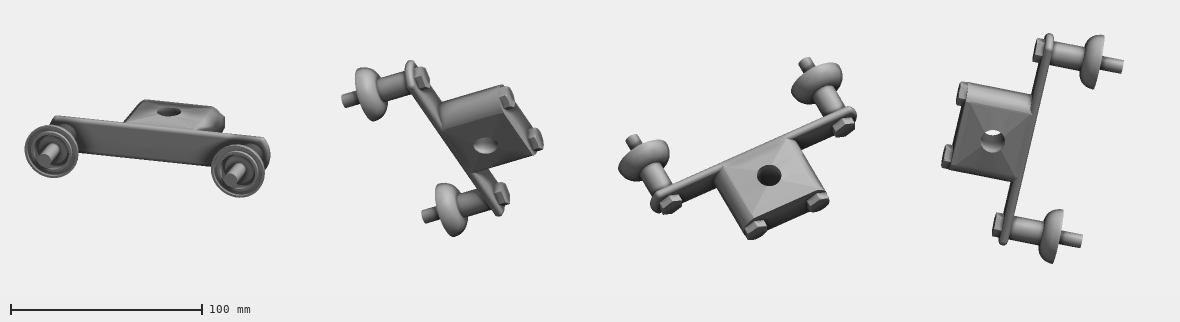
import cadquery as cq
import math

PLATE_HEIGHT = 19.3
PLATE_THICKNESS = 4.5
PLATE_LENGTH = 120.9
PLATE_END_RADIUS = 14.4
PLATE_CORNER_RADIUS = 2.2
PLATE_EDGE_RADIUS = 2.1

HEX_SIDES = 6
HEX_ACROSS_CORNERS = 12.9
HEX_HEIGHT = 4.0
HEX_CORNER_CHAMFER_ANGLE = 30.0

BLOCK_WIDTH = 49.2
BLOCK_FLAT_WIDTH = 36.5
BLOCK_BACK = 36.3
BLOCK_FLAT_X = BLOCK_FLAT_WIDTH / 2
BLOCK_BOLT_X = BLOCK_FLAT_X
BORE_Y = 17.9
BORE_RADIUS = 6.4

PAD_WIDTH = 35.5
PAD_LENGTH = 31.5
PAD_RISE = 1.7
PAD_CREST_HALF_LENGTH = 5.1
PAD_SIDE_BEVEL_X = 18.7

CUP_RADIUS = 14.5
OVERALL_LENGTH = 130.6
POST_X = OVERALL_LENGTH / 2 - CUP_RADIUS
POST_RADIUS = 6.4
PIN_RADIUS = 3.7
PIN_END = -40.5
CUP_FRONT = -27.8
CUP_RIM_WIDTH = 0.9
CUP_DOME_RADIUS = 7.8
GROOVE_OUTER_RADIUS = 13.3
GROOVE_INNER_RADIUS = 11.0
GROOVE_DEPTH = 2.0
RECESS_RADIUS = 9.7
RECESS_DEPTH = 6.0
RECESS_BOSS_RADIUS = 7.8
RECESS_BOSS_DEPTH = 3.7

HALF_HEIGHT = PLATE_HEIGHT / 2
PLATE_BACK = PLATE_THICKNESS / 2
PAD_CREST_X = math.sqrt(BORE_RADIUS**2 - PAD_CREST_HALF_LENGTH**2)


def make_plate():
    """Bar with bowed ends, rounded corners and nearly full-round long edges."""
    half_length = PLATE_LENGTH / 2
    end_bow = PLATE_END_RADIUS - math.sqrt(PLATE_END_RADIUS**2 - HALF_HEIGHT**2)
    corner_x = half_length - end_bow
    return (
        cq.Workplane("XZ", origin=(0, PLATE_BACK, 0))
        .moveTo(-corner_x, HALF_HEIGHT)
        .lineTo(corner_x, HALF_HEIGHT)
        .threePointArc((half_length, 0), (corner_x, -HALF_HEIGHT))
        .lineTo(-corner_x, -HALF_HEIGHT)
        .threePointArc((-half_length, 0), (-corner_x, HALF_HEIGHT))
        .close()
        .extrude(PLATE_THICKNESS)
        .edges("|Y")
        .fillet(PLATE_CORNER_RADIUS)
        .faces("<Y or >Y")
        .edges()
        .fillet(PLATE_EDGE_RADIUS)
    )


def make_hex_head(x, seat_y):
    """Bolt head that rises toward +Y from its seat."""
    return (
        cq.Workplane("XZ", origin=(x, seat_y, 0))
        .transformed(rotate=(0, 0, 90))
        .polygon(HEX_SIDES, HEX_ACROSS_CORNERS)
        .extrude(-HEX_HEIGHT)
    )


def make_chamfered_hex_head(x, seat_y):
    """Bolt head whose outer corners are trimmed by a cone down to a round end face."""
    face_radius = HEX_ACROSS_CORNERS / 2 * math.cos(math.pi / HEX_SIDES)
    seat_radius = face_radius + HEX_HEIGHT / math.tan(math.radians(HEX_CORNER_CHAMFER_ANGLE))
    cone = cq.Solid.makeCone(
        seat_radius, face_radius, HEX_HEIGHT, cq.Vector(x, seat_y, 0), cq.Vector(0, 1, 0)
    )
    return make_hex_head(x, seat_y).intersect(cq.Workplane(cone))


def block_side_bulge_radius():
    """Radius of the arc that forms each side of the block."""
    bow = (BLOCK_WIDTH - BLOCK_FLAT_WIDTH) / 2
    return (HALF_HEIGHT**2 + bow**2) / (2 * bow)


def make_block():
    """Block with flat top and bottom and bulging sides."""
    side_x = BLOCK_WIDTH / 2
    return (
        cq.Workplane("XZ")
        .moveTo(-BLOCK_FLAT_X, HALF_HEIGHT)
        .lineTo(BLOCK_FLAT_X, HALF_HEIGHT)
        .threePointArc((side_x, 0), (BLOCK_FLAT_X, -HALF_HEIGHT))
        .lineTo(-BLOCK_FLAT_X, -HALF_HEIGHT)
        .threePointArc((-side_x, 0), (-BLOCK_FLAT_X, HALF_HEIGHT))
        .close()
        .extrude(-BLOCK_BACK)
    )


def make_polyhedron(faces):
    """Solid bounded by flat faces, each given as a loop of points."""
    flat_faces = [
        cq.Face.makeFromWires(cq.Wire.makePolygon([cq.Vector(*p) for p in loop], close=True))
        for loop in faces
    ]
    return cq.Workplane(cq.Solid.makeSolid(cq.Shell.makeShell(flat_faces)))


def make_pad_slope():
    """Sloping rear part of the top pad, from the crest down to the rear base edge."""
    base_x = PAD_WIDTH / 2
    crest_y = BORE_Y + PAD_CREST_HALF_LENGTH
    rear_y = BORE_Y + PAD_LENGTH / 2
    crest_z = HALF_HEIGHT + PAD_RISE
    inner_left = (-base_x, crest_y, HALF_HEIGHT)
    inner_right = (base_x, crest_y, HALF_HEIGHT)
    rear_left = (-base_x, rear_y, HALF_HEIGHT)
    rear_right = (base_x, rear_y, HALF_HEIGHT)
    crest_left = (-PAD_CREST_X, crest_y, crest_z)
    crest_right = (PAD_CREST_X, crest_y, crest_z)
    return make_polyhedron([
        [inner_left, rear_left, rear_right, inner_right],
        [inner_left, inner_right, crest_right, crest_left],
        [rear_left, crest_left, crest_right, rear_right],
        [inner_left, crest_left, rear_left],
        [inner_right, rear_right, crest_right],
    ])


def make_pad_crest():
    """Middle part of the top pad, ruled from straight base edges to the bore rim."""
    return (
        cq.Workplane("XY", origin=(0, BORE_Y, HALF_HEIGHT))
        .rect(PAD_WIDTH, 2 * PAD_CREST_HALF_LENGTH)
        .workplane(offset=PAD_RISE)
        .moveTo(-PAD_CREST_X, -PAD_CREST_HALF_LENGTH)
        .lineTo(PAD_CREST_X, -PAD_CREST_HALF_LENGTH)
        .threePointArc((BORE_RADIUS, 0), (PAD_CREST_X, PAD_CREST_HALF_LENGTH))
        .lineTo(-PAD_CREST_X, PAD_CREST_HALF_LENGTH)
        .threePointArc((-BORE_RADIUS, 0), (-PAD_CREST_X, -PAD_CREST_HALF_LENGTH))
        .close()
        .loft(ruled=True)
    )


def make_pad():
    """Complete pad on the top of the block."""
    slope = make_pad_slope()
    return make_pad_crest().union(slope).union(slope.mirror("XZ", (0, BORE_Y, 0)))


def make_pad_side_bevel():
    """Sliver removed along the right side of the top pad, where the block side begins."""
    radius = block_side_bulge_radius()
    arc_center_x = BLOCK_WIDTH / 2 - radius
    bevel_z = math.sqrt(radius**2 - (PAD_SIDE_BEVEL_X - arc_center_x) ** 2)
    return (
        cq.Workplane("XZ", origin=(0, BORE_Y - PAD_LENGTH / 2, 0))
        .moveTo(PAD_WIDTH / 2, HALF_HEIGHT)
        .lineTo(PAD_SIDE_BEVEL_X, bevel_z)
        .lineTo(PAD_SIDE_BEVEL_X, HALF_HEIGHT)
        .close()
        .extrude(-PAD_LENGTH)
    )


def make_clamp_block():
    """Block with both pads, side bevels, bore and rear bolt heads."""
    pad = make_pad()
    bevel = make_pad_side_bevel()
    bevels = bevel.union(bevel.mirror("YZ"))
    bore = (
        cq.Workplane("XY", origin=(0, BORE_Y, 0))
        .circle(BORE_RADIUS)
        .extrude(HALF_HEIGHT + PAD_RISE, both=True)
    )
    block = make_block().cut(bevels).cut(bevels.mirror("XY"))
    block = block.union(pad).union(pad.mirror("XY")).cut(bore)
    for side in (-1, 1):
        block = block.union(make_chamfered_hex_head(side * BLOCK_BOLT_X, BLOCK_BACK))
    return block


def make_standoff(x):
    """Post, domed cup and pin turned about one axis, with the bolt head behind the plate."""
    rim_back = CUP_FRONT + CUP_RIM_WIDTH
    dome_top = rim_back + CUP_DOME_RADIUS
    dome_center_r = CUP_RADIUS - CUP_DOME_RADIUS
    diagonal = CUP_DOME_RADIUS / math.sqrt(2)
    groove_floor = CUP_FRONT + GROOVE_DEPTH
    recess_floor = CUP_FRONT + RECESS_DEPTH
    boss_face = CUP_FRONT + RECESS_BOSS_DEPTH
    turned = (
        cq.Workplane("XY")
        .lineTo(POST_RADIUS, 0)
        .lineTo(POST_RADIUS, dome_top)
        .lineTo(dome_center_r, dome_top)
        .threePointArc((dome_center_r + diagonal, rim_back + diagonal), (CUP_RADIUS, rim_back))
        .lineTo(CUP_RADIUS, CUP_FRONT)
        .lineTo(GROOVE_OUTER_RADIUS, CUP_FRONT)
        .lineTo(GROOVE_OUTER_RADIUS, groove_floor)
        .lineTo(GROOVE_INNER_RADIUS, groove_floor)
        .lineTo(GROOVE_INNER_RADIUS, CUP_FRONT)
        .lineTo(RECESS_RADIUS, CUP_FRONT)
        .lineTo(RECESS_RADIUS, recess_floor)
        .lineTo(RECESS_BOSS_RADIUS, recess_floor)
        .lineTo(RECESS_BOSS_RADIUS, boss_face)
        .lineTo(PIN_RADIUS, boss_face)
        .lineTo(PIN_RADIUS, PIN_END)
        .lineTo(0, PIN_END)
        .close()
        .revolve(360, (0, 0, 0), (0, 1, 0))
        .translate((x, 0, 0))
    )
    return turned.union(make_hex_head(x, PLATE_BACK))


result = make_plate().union(make_clamp_block())
for side in (-1, 1):
    result = result.union(make_standoff(side * POST_X))